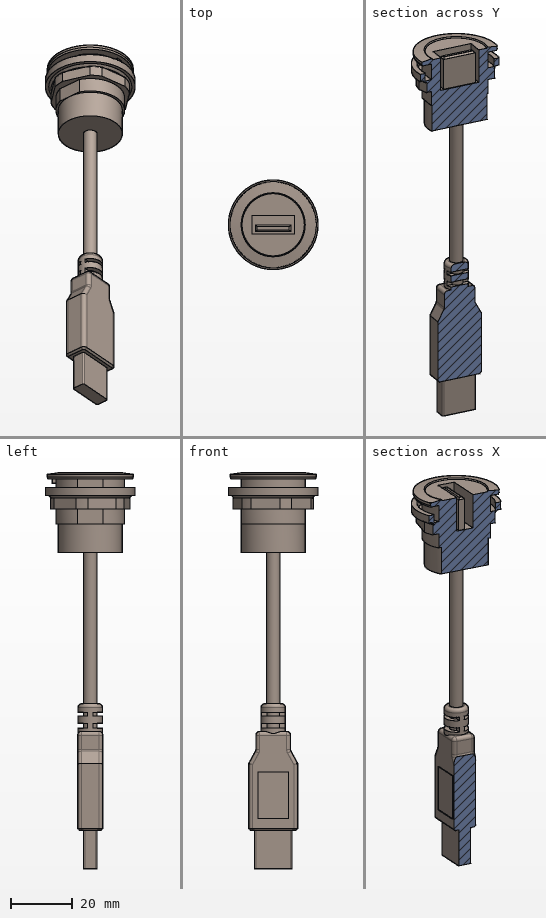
import cadquery as cq

total_height = 128.0
rim_top = 127.5
rim_bottom = 126.6
flange_bottom = 126.0
washer_top = 123.3
washer_bottom = 120.6
nut_top = 119.8
nut_bottom = 116.2
thread_bottom = 111.4
housing_bottom = 102.1
sleeve_top = 53.4
grip_top = 44.4
grip_bottom = 12.4

housing_diameter = 20.7
thread_diameter = 22.3
flange_diameter = 27.9
flange_bottom_diameter = 27.4
washer_diameter = 29.0
washer_bore_diameter = 25.3
lip_top_diameter = 26.9
lip_bottom_diameter = 25.3
recess_bottom_diameter = 20.1
recess_depth = 0.4

nut_across_flats = 24.3
nut_corner_diameter = 26.1
nut_turn = 18.0

tab_width = 2.0
tab_reach = 12.3
tab_bottom = 124.5

port_width = 13.7
port_height = 5.9
port_depth = 11.5
tongue_width = 11.5
tongue_thickness = 2.2
tongue_offset = 1.2
tongue_top_gap = 0.4
tongue_chamfer = 0.58

cable_diameter = 4.5
sleeve_diameter = 8.0
sleeve_rounding = 1.3
web_thickness = 1.9
relief_grooves = [(49.4, 50.5), (45.5, 47.0)]

grip_width = 15.9
neck_width = 11.3
grip_thickness = 8.2
neck_bottom = 38.3
shoulder_bottom = 34.0
grip_rounding = 1.3
neck_bend_radius = 1.3
grip_end_chamfer = 0.6
label_width = 9.7
label_bottom = 16.3
label_top = 31.2
label_depth = 0.3

plug_width = 12.2
plug_thickness = 4.5
plug_rounding = 0.5


def cylinder(diameter, bottom, top):
    return cq.Workplane("XY").workplane(offset=bottom).circle(diameter / 2).extrude(top - bottom)


def block(width, thickness, bottom, top):
    return (
        cq.Workplane("XY")
        .workplane(offset=bottom)
        .rect(width, thickness)
        .extrude(top - bottom)
    )


def make_flange():
    """Conical bezel with a shallow tapered recess around the port face."""
    recess_floor = total_height - recess_depth
    return (
        cq.Workplane("XZ")
        .moveTo(0, flange_bottom)
        .lineTo(flange_bottom_diameter / 2, flange_bottom)
        .lineTo(flange_diameter / 2, rim_bottom)
        .lineTo(flange_diameter / 2, rim_top)
        .lineTo(housing_diameter / 2, total_height)
        .lineTo(recess_bottom_diameter / 2, recess_floor)
        .lineTo(0, recess_floor)
        .close()
        .revolve(360, (0, 0, 0), (0, 1, 0))
    )


def make_housing():
    """Threaded barrel with a flat on each X side, above a plain barrel."""
    flats = block(housing_diameter, thread_diameter, thread_bottom, flange_bottom)
    barrel = cylinder(thread_diameter, thread_bottom, flange_bottom).intersect(flats)
    return barrel.union(cylinder(housing_diameter, housing_bottom, thread_bottom))


def make_tab():
    return block(tab_width, tab_reach, tab_bottom, flange_bottom).translate((0, tab_reach / 2, 0))


def make_nut():
    """Hex nut under a bored washer; a lip tapers from the washer down to the nut."""
    washer = cylinder(washer_diameter, washer_bottom, washer_top)
    washer = washer.cut(cylinder(washer_bore_diameter, washer_bottom, washer_top))
    lip = (
        cq.Workplane("XY")
        .workplane(offset=nut_top)
        .circle(lip_bottom_diameter / 2)
        .workplane(offset=washer_bottom - nut_top)
        .circle(lip_top_diameter / 2)
        .loft()
    )
    hexagon = (
        cq.Workplane("XY")
        .workplane(offset=nut_bottom)
        .polygon(6, nut_across_flats, circumscribed=True)
        .extrude(nut_top - nut_bottom)
        .rotate((0, 0, 0), (0, 0, 1), nut_turn)
    )
    hexagon = hexagon.intersect(cylinder(nut_corner_diameter, nut_bottom, nut_top))
    return washer.union(lip).union(hexagon)


def make_port():
    """Return the port pocket with its contact tongue left standing."""
    face = total_height - recess_depth
    pocket = block(port_width, port_height, face - port_depth, total_height)
    tongue = (
        block(tongue_width, tongue_thickness, face - port_depth, face - tongue_top_gap)
        .faces(">Z")
        .chamfer(tongue_chamfer)
        .translate((0, -tongue_offset, 0))
    )
    return pocket.cut(tongue)


def make_strain_relief():
    """Sleeve on the cable, grooved down to the cable on both Y sides."""
    sleeve = cylinder(sleeve_diameter, grip_top - grip_rounding, sleeve_top)
    sleeve = sleeve.faces(">Z").edges().fillet(sleeve_rounding)
    for bottom, top in relief_grooves:
        web = block(sleeve_diameter, web_thickness, bottom, top)
        groove = cylinder(sleeve_diameter, bottom, top).cut(web)
        sleeve = sleeve.cut(groove)
    return sleeve


def make_grip():
    """Shouldered grip with rounded edges and a recessed label panel."""
    half_grip = grip_width / 2
    half_neck = neck_width / 2
    grip = (
        cq.Workplane("XZ")
        .moveTo(-half_grip, grip_bottom)
        .lineTo(half_grip, grip_bottom)
        .lineTo(half_grip, shoulder_bottom)
        .lineTo(half_neck, neck_bottom)
        .lineTo(half_neck, grip_top)
        .lineTo(-half_neck, grip_top)
        .lineTo(-half_neck, neck_bottom)
        .lineTo(-half_grip, shoulder_bottom)
        .close()
        .extrude(grip_thickness / 2, both=True)
    )
    neck_bends = cq.selectors.BoxSelector(
        (-half_grip, -grip_thickness, shoulder_bottom + grip_rounding),
        (half_grip, grip_thickness, grip_top - grip_rounding),
    )
    grip = grip.edges("|Y").edges(neck_bends).fillet(neck_bend_radius)
    grip = grip.edges("(not(|Y or <Z)) or >Z").fillet(grip_rounding)
    grip = grip.faces("<Z").chamfer(grip_end_chamfer)
    label = block(label_width, 2 * label_depth, label_bottom, label_top)
    return grip.cut(label.translate((0, -grip_thickness / 2, 0)))


def make_plug():
    return block(plug_width, plug_thickness, 0, grip_bottom).edges("|Z").fillet(plug_rounding)


result = make_flange()
for piece in (
    make_housing(),
    make_tab(),
    make_nut(),
    cylinder(cable_diameter, grip_top - grip_rounding, housing_bottom),
    make_strain_relief(),
    make_grip(),
    make_plug(),
):
    result = result.union(piece)
result = result.cut(make_port())